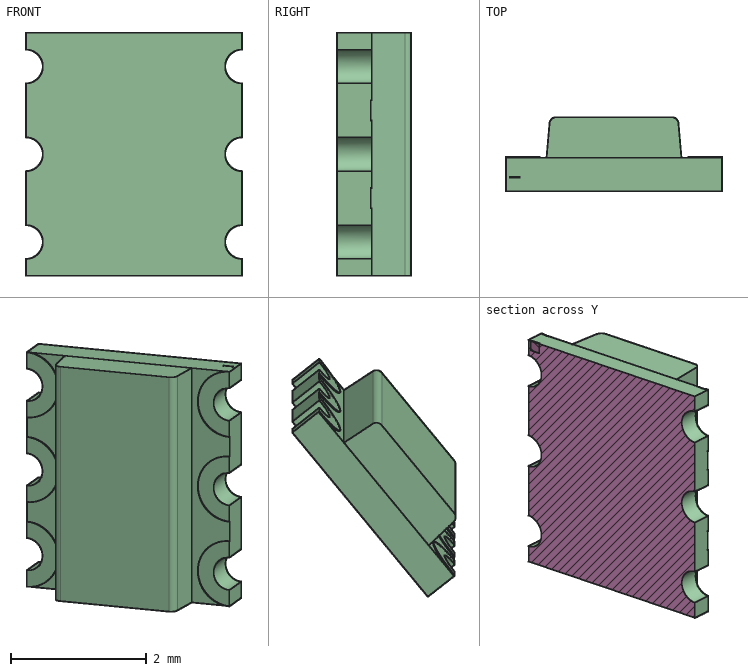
import cadquery as cq
import math

BOARD_WIDTH = 3.2
BOARD_HEIGHT = 3.6
BOARD_THICKNESS = 0.5
TOTAL_DEPTH = 1.1

NOTCH_RADIUS = 0.25
NOTCHES_PER_SIDE = 3
NOTCH_PITCH = 1.3
LAND_RADIUS = BOARD_HEIGHT / 2 - NOTCH_PITCH
LAND_THICKNESS = 0.015

MARK_SIZE = 0.15
MARK_THICKNESS = 0.015
MARK_FROM_SIDE = 0.055
MARK_FROM_FRONT = 0.2

LENS_BASE_WIDTH = 2.0
LENS_DRAFT_DEGREES = 5.0
LENS_CORNER_RADIUS = 0.1
LENS_DEPTH = TOTAL_DEPTH - BOARD_THICKNESS


def notch_centres():
    """(x, z) places of the notches along both side edges."""
    middle = (NOTCHES_PER_SIDE - 1) / 2
    return [
        (side * BOARD_WIDTH / 2, (row - middle) * NOTCH_PITCH)
        for side in (-1, 1)
        for row in range(NOTCHES_PER_SIDE)
    ]


def discs(radius, y_start, length):
    """Round bars along +Y at every notch centre."""
    plane = cq.Workplane("XZ", origin=(0, y_start, 0))
    return plane.pushPoints(notch_centres()).circle(radius).extrude(-length)


def make_mark():
    """Foil square standing parallel to the front face."""
    corner = (MARK_FROM_SIDE - BOARD_WIDTH / 2, MARK_FROM_FRONT, BOARD_HEIGHT / 2 - MARK_SIZE)
    return cq.Workplane("XY", origin=corner).box(MARK_SIZE, MARK_THICKNESS, MARK_SIZE, centered=False)


def make_board(mark):
    """Plate with lands, notches and a slot for the mark; its front face lies at Y = 0."""
    full_depth = BOARD_THICKNESS + LAND_THICKNESS
    plate = cq.Workplane("XY").box(BOARD_WIDTH, BOARD_THICKNESS, BOARD_HEIGHT, centered=(True, False, True))
    envelope = cq.Workplane("XY").box(BOARD_WIDTH, full_depth, BOARD_HEIGHT, centered=(True, False, True))
    lands = discs(LAND_RADIUS, BOARD_THICKNESS, LAND_THICKNESS).intersect(envelope)
    return plate.union(lands).cut(discs(NOTCH_RADIUS, 0, full_depth)).cut(mark)


def make_lens():
    """Drafted bar the full height of the board, with rounded rear edges."""
    inset = LENS_DEPTH * math.tan(math.radians(LENS_DRAFT_DEGREES))
    half_base = LENS_BASE_WIDTH / 2
    half_back = half_base - inset
    outline = [
        (-half_base, BOARD_THICKNESS),
        (half_base, BOARD_THICKNESS),
        (half_back, TOTAL_DEPTH),
        (-half_back, TOTAL_DEPTH),
    ]
    bar = cq.Workplane("XY", origin=(0, 0, -BOARD_HEIGHT / 2)).polyline(outline).close().extrude(BOARD_HEIGHT)
    return bar.faces(">Y").edges("|Z").fillet(LENS_CORNER_RADIUS)


mark = make_mark()
board = make_board(mark)
lens = make_lens()

result = cq.Compound.makeCompound([board.val(), mark.val(), lens.val()])